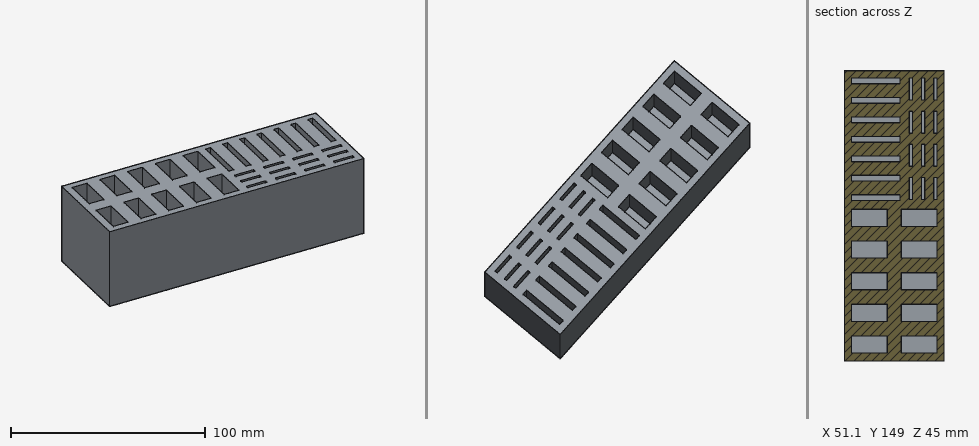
import cadquery as cq

width = 51.1
length = 149.0
height = 45.0
side_margin = 3.7
back_margin = 3.9
recess_depth = height / 2

slot_width = 24.7
slot_length = 2.8
slot_count = 7
slot_pitch = 10.0

slit_width = 1.5
slit_length = 11.2
slit_columns = 3
slit_rows = 4
slit_column_pitch = 6.3
slit_row_pitch = 17.0

pocket_width = 18.2
pocket_length = 8.6
pocket_columns = 2
pocket_rows = 5
pocket_row_pitch = 16.2
front_margin = 4.2

left_edge = side_margin
right_edge = width - side_margin
back_edge = length - back_margin


def cut_grid(body, x_size, y_size, x_centers, y_centers):
    """Cut equal rectangular blind recesses at every crossing of the given centers."""
    centers = [(x, y) for x in x_centers for y in y_centers]
    cutters = (
        cq.Workplane("XY")
        .workplane(offset=height - recess_depth)
        .pushPoints(centers)
        .rect(x_size, y_size)
        .extrude(recess_depth)
    )
    return body.cut(cutters)


block = cq.Workplane("XY").box(width, length, height, centered=False)

slot_x = [left_edge + slot_width / 2]
slot_y = [back_edge - slot_length / 2 - row * slot_pitch for row in range(slot_count)]
block = cut_grid(block, slot_width, slot_length, slot_x, slot_y)

slit_x = [right_edge - slit_width / 2 - column * slit_column_pitch for column in range(slit_columns)]
slit_y = [back_edge - slit_length / 2 - row * slit_row_pitch for row in range(slit_rows)]
block = cut_grid(block, slit_width, slit_length, slit_x, slit_y)

pocket_column_pitch = right_edge - left_edge - pocket_width
pocket_x = [left_edge + pocket_width / 2 + column * pocket_column_pitch for column in range(pocket_columns)]
pocket_y = [front_margin + pocket_length / 2 + row * pocket_row_pitch for row in range(pocket_rows)]
block = cut_grid(block, pocket_width, pocket_length, pocket_x, pocket_y)

result = block